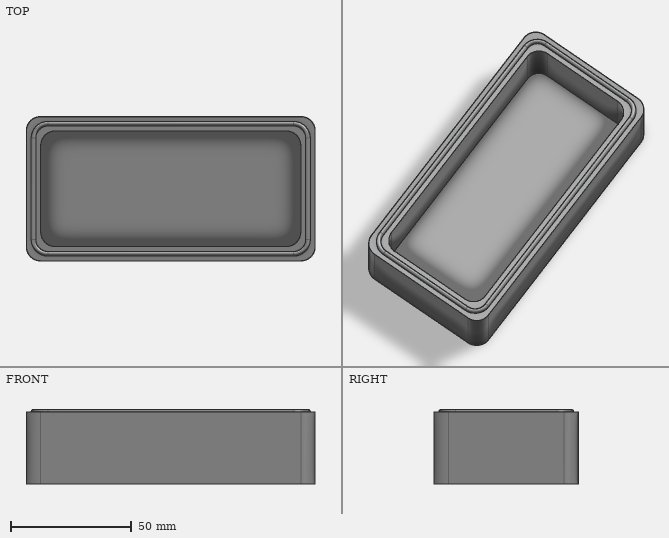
import cadquery as cq

length = 120.0
width = 60.0
body_height = 30.0
total_height = 31.0
wall = 6.0
floor_thickness = 3.0
corner_radius = 6.0

bead_radius = total_height - body_height
bead_inset = wall / 2
bead_corner_radius = 6.0


def rounded_block(size_x, size_y, height, radius, base_z):
    """Upright block with rounded vertical edges, standing on base_z."""
    return (
        cq.Workplane("XY")
        .workplane(offset=base_z)
        .rect(size_x, size_y)
        .extrude(height)
        .edges("|Z")
        .fillet(radius)
    )


def sealing_bead():
    """Round bar swept along a rounded rectangle on the rim plane."""
    half_x = length / 2 - bead_inset
    half_y = width / 2 - bead_inset
    straight_x = half_x - bead_corner_radius
    straight_y = half_y - bead_corner_radius
    path = (
        cq.Workplane("XY", origin=(0, 0, body_height))
        .moveTo(0, -half_y)
        .lineTo(straight_x, -half_y)
        .radiusArc((half_x, -straight_y), -bead_corner_radius)
        .lineTo(half_x, straight_y)
        .radiusArc((straight_x, half_y), -bead_corner_radius)
        .lineTo(-straight_x, half_y)
        .radiusArc((-half_x, straight_y), -bead_corner_radius)
        .lineTo(-half_x, -straight_y)
        .radiusArc((-straight_x, -half_y), -bead_corner_radius)
        .close()
    )
    section = cq.Workplane("YZ", origin=(0, -half_y, body_height)).circle(bead_radius)
    return section.sweep(path)


body = rounded_block(length, width, body_height, corner_radius, 0)
cavity = rounded_block(
    length - 2 * wall,
    width - 2 * wall,
    body_height - floor_thickness,
    corner_radius,
    floor_thickness,
)

result = body.cut(cavity).union(sealing_bead())